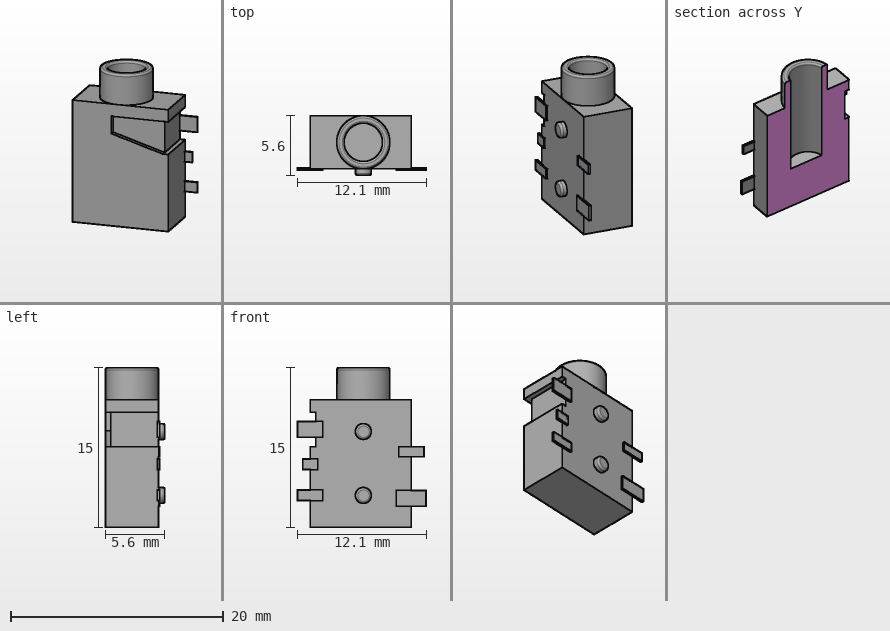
import cadquery as cq

BODY_WIDTH = 9.5
BODY_DEPTH = 5.0
BODY_HEIGHT = 12.0
LEFT = -BODY_WIDTH / 2
RIGHT = BODY_WIDTH / 2
REAR = BODY_DEPTH

BARREL_X = 0.24
BARREL_DIAMETER = 5.0
BARREL_LENGTH = 3.0
BORE_DIAMETER = 3.6
BORE_DEPTH = 10.5
RIM_FILLET = 0.2

NOTCH_DEPTH = 0.51
NOTCH_BOTTOM = 7.59
NOTCH_TOP = 10.8
NOTCH_HEIGHT = NOTCH_TOP - NOTCH_BOTTOM
POCKET_DEPTH = 0.51
POCKET_LENGTH = 5.13
RAMP_RISE = 1.5

PEG_DIAMETER = 1.5
PEG_LENGTH = 0.6
PEG_FILLET = 0.21
PEG_HEIGHTS = (3.0, 9.0)

TERMINAL_THICKNESS = 0.21
TERMINAL_SINK = 0.1
LEFT_TERMINALS = (
    (1.2, 1.22, 8.45, 1.5),
    (0.7, 0.7, 5.43, 1.0),
    (1.2, 1.22, 2.5, 1.0),
)
RIGHT_TERMINALS = (
    (1.2, 1.2, 6.63, 0.96),
    (1.41, 1.4, 1.96, 1.5),
)


def make_terminal(x_start, x_end, bottom, height):
    return cq.Workplane("XY").box(
        x_end - x_start, TERMINAL_THICKNESS, height, centered=False
    ).translate((x_start, TERMINAL_SINK - TERMINAL_THICKNESS, bottom))


def make_terminals():
    left = [make_terminal(LEFT - outer, LEFT + inner, bottom, height)
            for inner, outer, bottom, height in LEFT_TERMINALS]
    right = [make_terminal(RIGHT - inner, RIGHT + outer, bottom, height)
             for inner, outer, bottom, height in RIGHT_TERMINALS]
    return left + right


def make_barrel():
    return (
        cq.Workplane("XY", origin=(BARREL_X, BODY_DEPTH / 2, BODY_HEIGHT))
        .circle(BARREL_DIAMETER / 2)
        .extrude(BARREL_LENGTH)
    )


def make_bore():
    return (
        cq.Workplane("XY", origin=(BARREL_X, BODY_DEPTH / 2, BODY_HEIGHT + BARREL_LENGTH))
        .circle(BORE_DIAMETER / 2)
        .extrude(-BORE_DEPTH)
    )


def make_peg(height):
    return (
        cq.Workplane("XZ", origin=(BARREL_X, 0, height))
        .circle(PEG_DIAMETER / 2)
        .extrude(PEG_LENGTH)
        .faces("<Y")
        .edges()
        .fillet(PEG_FILLET)
    )


def make_notch():
    return cq.Workplane("XY").box(
        NOTCH_DEPTH, BODY_DEPTH, NOTCH_HEIGHT, centered=False
    ).translate((LEFT, 0, NOTCH_BOTTOM))


def make_rear_pocket():
    """Wedge open to the notch and the rear face; its floor climbs to an upright end wall."""
    notch_wall = LEFT + NOTCH_DEPTH
    end_wall = notch_wall + POCKET_LENGTH
    return (
        cq.Workplane("XZ", origin=(0, REAR, 0))
        .polyline([
            (notch_wall, NOTCH_BOTTOM),
            (end_wall, NOTCH_BOTTOM + RAMP_RISE),
            (end_wall, NOTCH_TOP),
            (notch_wall, NOTCH_TOP),
        ])
        .close()
        .extrude(POCKET_DEPTH)
    )


def make_housing(terminals):
    housing = cq.Workplane("XY").box(BODY_WIDTH, BODY_DEPTH, BODY_HEIGHT, centered=False)
    housing = housing.translate((LEFT, 0, 0)).union(make_barrel()).cut(make_bore())
    housing = housing.faces(">Z").edges().fillet(RIM_FILLET)
    housing = housing.cut(make_notch()).cut(make_rear_pocket())
    for height in PEG_HEIGHTS:
        housing = housing.union(make_peg(height))
    for terminal in terminals:
        housing = housing.cut(terminal)
    return housing


terminals = make_terminals()
housing = make_housing(terminals)
result = cq.Compound.makeCompound([housing.val(), *[terminal.val() for terminal in terminals]])